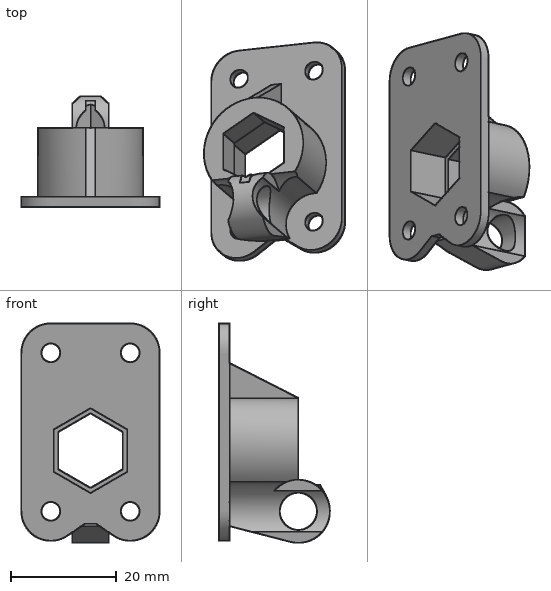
import cadquery as cq
import math

plate_width = 26.2
plate_thickness = 2.0
hole_spacing_x = 15.0
hole_spacing_z = 30.0
hole_diameter = 3.5
hole_x = hole_spacing_x / 2
lower_hole_z = -11.48
upper_hole_z = lower_hole_z + hole_spacing_z
corner_radius = plate_width / 2 - hole_x
notch_half_width = 1.0
notch_z = -13.8

boss_radius = 10.0
boss_height = 13.0
boss_back = plate_thickness + boss_height
socket_flats = 13.9
opening_flats = 12.2
socket_depth = 8.7

rib_width = 1.87
rib_foot_z = 16.6
lug_rib_top_z = -3.75
lug_rib_top_y = 17.55
lug_rib_end_y = 20.17
lug_rib_end_z = -8.3

lug_width = 7.0
lug_radius = 6.0
lug_hole_radius = 3.5
lug_y = boss_back
lug_z = lower_hole_z
lug_foot_z = -14.3


def xz_plane(y):
    """Workplane whose extrusions run toward +Y; its local Y is global Z reversed."""
    return cq.Workplane(cq.Plane(origin=(0, y, 0), xDir=(1, 0, 0), normal=(0, 1, 0)))


def side_prism(sketch, width):
    """Extrude a YZ outline symmetrically about X = 0."""
    return sketch.extrude(width / 2, both=True)


def tangent_point(px, py, cx, cy, radius, side):
    """Point where a line from (px, py) touches a circle; side (+1 or -1) picks the tangent."""
    distance = math.hypot(px - cx, py - cy)
    toward_point = math.atan2(py - cy, px - cx)
    angle = toward_point + side * math.acos(radius / distance)
    return cx + radius * math.cos(angle), cy + radius * math.sin(angle)


def lower_corner_point(touch_x, side=1):
    """Point on a lower plate corner, midway in X between the notch tangent and the lowest point."""
    offset = (hole_x - touch_x) / 2
    return side * (hole_x - offset), lower_hole_z - math.sqrt(corner_radius**2 - offset**2)


def hexagon(flats, y_start, y_end):
    """Hexagonal prism along Y with two corners on the Z axis."""
    corner_diameter = flats / math.cos(math.pi / 6)
    return (xz_plane(y_start).transformed(rotate=(0, 0, 90))
            .polygon(6, corner_diameter).extrude(y_end - y_start))


def make_plate():
    height = hole_spacing_z + 2 * corner_radius
    blank = (
        xz_plane(0).center(0, -(upper_hole_z + lower_hole_z) / 2)
        .rect(plate_width, height).extrude(plate_thickness)
        .edges("|Y").fillet(corner_radius)
    )
    touch_x, touch_z = tangent_point(
        notch_half_width, notch_z, hole_x, lower_hole_z, corner_radius, 1)
    bottom_z = lower_hole_z - corner_radius
    notch = (
        cq.Workplane("XZ")
        .moveTo(-notch_half_width, notch_z)
        .lineTo(notch_half_width, notch_z)
        .lineTo(touch_x, touch_z)
        .threePointArc(lower_corner_point(touch_x), (hole_x, bottom_z))
        .lineTo(-hole_x, bottom_z)
        .threePointArc(lower_corner_point(touch_x, -1), (-touch_x, touch_z))
        .close()
        .extrude(-plate_thickness)
    )
    return blank.cut(notch)


def lug_disc(radius, width):
    """Round prism about the cross-hole axis."""
    return side_prism(cq.Workplane("YZ").center(lug_y, lug_z).circle(radius), width)


def make_boss():
    """Round boss, scooped beside the lug so the flat lug sides stay clear."""
    boss = xz_plane(plate_thickness).circle(boss_radius).extrude(boss_height)
    return boss.cut(lug_disc(lug_radius, plate_width))


def make_rib():
    outline = (
        cq.Workplane("YZ")
        .polyline([(plate_thickness, 0), (plate_thickness, rib_foot_z),
                   (boss_back, boss_radius), (boss_back, 0)])
        .close()
    )
    return side_prism(outline, rib_width)


def make_lug():
    disc = lug_disc(lug_radius, lug_width)
    touch_y, touch_z = tangent_point(
        plate_thickness, lug_foot_z, lug_y, lug_z, lug_radius, 1)
    web_outline = (
        cq.Workplane("YZ")
        .polyline([(plate_thickness, 0), (plate_thickness, lug_foot_z),
                   (touch_y, touch_z), (lug_y, lug_z), (boss_back, 0)])
        .close()
    )
    rib_outline = (
        cq.Workplane("YZ")
        .polyline([(lug_y, lug_z), (lug_y, lug_rib_top_z), (lug_rib_top_y, lug_rib_top_z),
                   (lug_rib_end_y, lug_rib_end_z)])
        .close()
    )
    return disc.union(side_prism(web_outline, lug_width)).union(side_prism(rib_outline, rib_width))


def make_screw_clearances():
    """Cylinders behind the plate that hollow the boss and lug around the lower screws."""
    return (
        xz_plane(plate_thickness)
        .pushPoints([(-hole_x, -lower_hole_z), (hole_x, -lower_hole_z)])
        .circle(corner_radius).extrude(2 * boss_back)
    )


def make_screw_holes():
    return (
        xz_plane(0).center(0, -(upper_hole_z + lower_hole_z) / 2)
        .rect(hole_spacing_x, hole_spacing_z, forConstruction=True).vertices()
        .circle(hole_diameter / 2).extrude(plate_thickness)
    )


body = make_boss().union(make_rib()).union(make_lug()).cut(make_screw_clearances())
body = body.union(make_plate()).cut(make_screw_holes()).cut(lug_disc(lug_hole_radius, plate_width))
body = body.cut(hexagon(socket_flats, 0, socket_depth))
result = body.cut(hexagon(opening_flats, 0, 2 * boss_back))